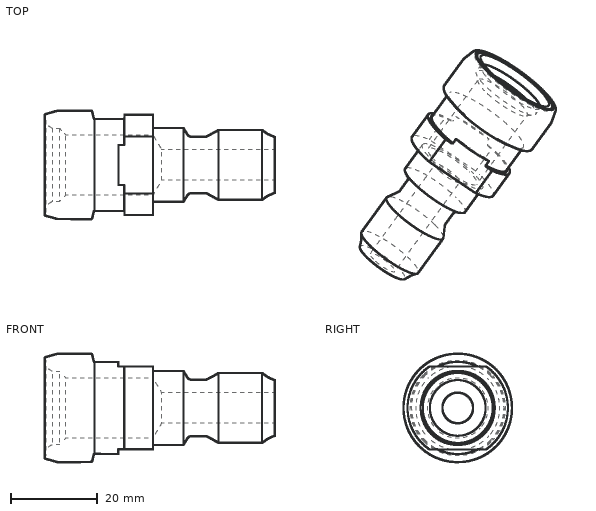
import cadquery as cq
import math

length = 53.0

edge_tolerance = 0.025

collar_radius = 12.5
collar_face_radius = 11.65
face_fillet = 0.4
collar_taper_length = 3.0
collar_end = 10.9
collar_rear_fillet = 0.4
collar_back = 11.4

body_radius = 10.6
wrench_radius = 11.55
wrench_start = 18.4
body_corner_fillet = 0.15
wrench_end = 24.95
flat_start = 16.95
flat_half_height = 9.55

shank_radius = 8.55
shank_end = 31.95
groove_radius = 6.5
groove_start = 33.2
groove_end = 37.2
groove_front_fillet = 1.05
groove_rear_fillet = 0.85
plug_radius = 8.05
plug_start = 40.0
nose_start = 50.05
nose_break = 51.3
nose_break_radius = 7.15
tip_radius = 6.4

ring_inner_radius = 10.6
ring_round = 0.35

mouth_radius = 9.65
mouth_chamfer_radius = 9.2
mouth_chamfer_depth = 0.4
seat_radius = 8.45
seat_start = 1.8
seat_end = 3.5
lip_radius = 7.95
lip_depth = 3.85
bore_radius = 6.95
bore_start = 4.9
bore_end = wrench_end
drill_half_angle = 60.0
passage_radius = 3.5


def revolve_about_x(outline):
    """Turn a closed (X, radius) outline in the XY plane about the X axis."""
    return outline.close().revolve(360, (0, 0, 0), (1, 0, 0))


def edges_at(station):
    """Selector for the edges lying at one place along X."""
    return cq.selectors.BoxSelector(
        (station - edge_tolerance, -length, -length),
        (station + edge_tolerance, length, length),
    )


def make_body():
    outline = (
        cq.Workplane("XY")
        .moveTo(0, 0)
        .lineTo(0, collar_face_radius)
        .lineTo(collar_taper_length, collar_radius)
        .lineTo(collar_end, collar_radius)
        .lineTo(collar_back, body_radius)
        .lineTo(wrench_start, body_radius)
        .lineTo(wrench_start, wrench_radius)
        .lineTo(wrench_end, wrench_radius)
        .lineTo(wrench_end, shank_radius)
        .lineTo(shank_end, shank_radius)
        .lineTo(groove_start, groove_radius)
        .lineTo(groove_end, groove_radius)
        .lineTo(plug_start, plug_radius)
        .lineTo(nose_start, plug_radius)
        .lineTo(nose_break, nose_break_radius)
        .lineTo(length, tip_radius)
        .lineTo(length, 0)
    )
    body = revolve_about_x(outline)
    rounded_corners = (
        (0, face_fillet),
        (collar_end, collar_rear_fillet),
        (collar_back, body_corner_fillet),
        (groove_start, groove_front_fillet),
        (groove_end, groove_rear_fillet),
    )
    for corner, fillet in rounded_corners:
        body = body.edges(edges_at(corner)).edges("%CIRCLE").fillet(fillet)
    wrench_corner = cq.selectors.RadiusNthSelector(0)
    return body.edges(edges_at(wrench_start)).edges(wrench_corner).fillet(body_corner_fillet)


def make_socket():
    drill_point = (bore_radius - passage_radius) / math.tan(math.radians(drill_half_angle))
    outline = (
        cq.Workplane("XY")
        .moveTo(0, 0)
        .lineTo(0, mouth_radius)
        .lineTo(mouth_chamfer_depth, mouth_chamfer_radius)
        .lineTo(seat_start, seat_radius)
        .lineTo(seat_end, seat_radius)
        .lineTo(lip_depth, lip_radius)
        .lineTo(bore_start, bore_radius)
        .lineTo(bore_end, bore_radius)
        .lineTo(bore_end + drill_point, passage_radius)
        .lineTo(length, passage_radius)
        .lineTo(length, 0)
    )
    return revolve_about_x(outline)


def make_face_ring():
    outline = (
        cq.Workplane("XY")
        .moveTo(0, ring_inner_radius)
        .radiusArc((ring_round, ring_inner_radius + ring_round), -ring_round)
        .lineTo(0, ring_inner_radius + ring_round)
    )
    return revolve_about_x(outline)


def make_flat_cutter(side):
    """Block that removes the material outside one wrench flat; side is +1 or -1 in Z."""
    flat_length = wrench_end - flat_start
    return cq.Workplane("XY").box(flat_length, 2 * wrench_radius, wrench_radius).translate(
        (flat_start + flat_length / 2, 0, side * (flat_half_height + wrench_radius / 2))
    )


result = make_body().cut(make_socket()).cut(make_face_ring())
for side in (1, -1):
    result = result.cut(make_flat_cutter(side))